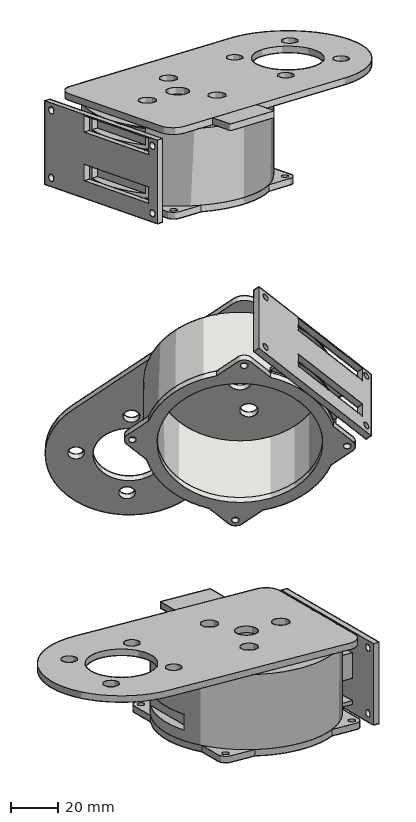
import cadquery as cq
import math


SHEET = 3.0
DRUM_RADIUS = 40.9
DRUM_HEIGHT = 34.6
BORE_RADIUS = 35.2

BASE_HALF_WIDTH = 35.9
BASE_CORNER_RADIUS = 4.0
EAR_HOLE_DIAMETER = 3.2
EAR_HOLE_OFFSET = 32.3

ARM_BOTTOM = SHEET + DRUM_HEIGHT
ARM_HALF_WIDTH = 35.8
ARM_END_OFFSET = 36.2
ARM_CORNER_RADIUS = 7.0
ROUND_END_Y = 63.9
PILOT_DIAMETER = 30.9
MOTOR_HOLE_DIAMETER = 7.0
MOTOR_HOLE_SPACING = 32.0

AXIS_HOLE_DIAMETER = 10.0
RING_HOLE_DIAMETER = 7.8
RING_HOLE_CIRCLE_RADIUS = 17.5
RING_HOLE_COUNT = 3

TAB_END_X = 46.8
TAB_WIDTH = 25.5
TAB_CORNER_RADIUS = 0.5

BOARD_BACK_Y = -DRUM_RADIUS
BOARD_LEFT_X = -35.8
BOARD_WIDTH = 70.5
BOARD_HEIGHT = ARM_BOTTOM
BOARD_HOLE_DIAMETER = 3.2
BOARD_HOLE_LEFT_X = -31.6
BOARD_HOLE_BOTTOM_Z = 4.0
BOARD_HOLE_SPACING_X = 63.2
BOARD_HOLE_SPACING_Z = 30.3

SLOT_LEFT_X = -11.0
SLOT_WIDTH = 40.4
SLOT_HEIGHT = 7.3
LOWER_SLOT_Z = 7.9
UPPER_SLOT_Z = 29.7
NOTCH_FLOOR_OFFSET = 36.2

PAD_BACK_OFFSET = 35.8
PAD_WIDTH = 2 * math.sqrt(DRUM_RADIUS**2 - PAD_BACK_OFFSET**2)
LOWER_PAD_Z = 4.0
LOWER_PAD_HEIGHT = 1.7
UPPER_PAD_Z = 16.1
UPPER_PAD_HEIGHT = 11.8


def block(x_min, x_max, y_min, y_max, z_min, height):
    """Box given by its X and Y limits, its underside and its height."""
    return (
        cq.Workplane("XY")
        .box(x_max - x_min, y_max - y_min, height, centered=False)
        .translate((x_min, y_min, z_min))
    )


def slot_cutter(bottom_z, y_min, y_max):
    """Rectangular cutter with the slot's X limits and height."""
    return block(SLOT_LEFT_X, SLOT_LEFT_X + SLOT_WIDTH, y_min, y_max, bottom_z, SLOT_HEIGHT)


def make_pad(bottom_z, height):
    """Block set into the front of the drum, flush with the back of the board."""
    return block(-PAD_WIDTH / 2, PAD_WIDTH / 2, BOARD_BACK_Y, -PAD_BACK_OFFSET, bottom_z, height)


def make_base():
    side = 2 * BASE_HALF_WIDTH
    square = cq.Workplane("XY").rect(side, side).extrude(SHEET).edges("|Z").fillet(BASE_CORNER_RADIUS)
    disc = cq.Workplane("XY").circle(DRUM_RADIUS).extrude(SHEET)
    ear_holes = (
        cq.Workplane("XY")
        .rect(2 * EAR_HOLE_OFFSET, 2 * EAR_HOLE_OFFSET, forConstruction=True)
        .vertices()
        .circle(EAR_HOLE_DIAMETER / 2)
        .extrude(SHEET)
    )
    bore = cq.Workplane("XY").circle(BORE_RADIUS).extrude(SHEET)
    return square.union(disc).cut(ear_holes).cut(bore)


def make_drum(pads):
    drum = (
        cq.Workplane("XY")
        .workplane(offset=SHEET)
        .circle(DRUM_RADIUS)
        .circle(BORE_RADIUS)
        .extrude(DRUM_HEIGHT)
    )
    for bottom_z in (LOWER_SLOT_Z, UPPER_SLOT_Z):
        drum = drum.cut(slot_cutter(bottom_z, -DRUM_RADIUS, -NOTCH_FLOOR_OFFSET))
    drum = drum.cut(slot_cutter(LOWER_SLOT_Z, NOTCH_FLOOR_OFFSET, DRUM_RADIUS))
    for pad in pads:
        drum = drum.cut(pad)
    return drum


def make_arm():
    arm = (
        cq.Workplane("XY")
        .workplane(offset=ARM_BOTTOM)
        .moveTo(-ARM_HALF_WIDTH, -ARM_END_OFFSET)
        .lineTo(ARM_HALF_WIDTH, -ARM_END_OFFSET)
        .lineTo(ARM_HALF_WIDTH, ROUND_END_Y)
        .threePointArc((0, ROUND_END_Y + ARM_HALF_WIDTH), (-ARM_HALF_WIDTH, ROUND_END_Y))
        .close()
        .extrude(SHEET)
        .edges("|Z and <Y")
        .fillet(ARM_CORNER_RADIUS)
    )
    motor_plane = cq.Workplane("XY").workplane(offset=ARM_BOTTOM).center(0, ROUND_END_Y)
    pilot = motor_plane.circle(PILOT_DIAMETER / 2).extrude(SHEET)
    motor_holes = (
        motor_plane.rect(MOTOR_HOLE_SPACING, MOTOR_HOLE_SPACING, forConstruction=True)
        .vertices()
        .circle(MOTOR_HOLE_DIAMETER / 2)
        .extrude(SHEET)
    )
    drum_plane = cq.Workplane("XY").workplane(offset=ARM_BOTTOM)
    axis_hole = drum_plane.circle(AXIS_HOLE_DIAMETER / 2).extrude(SHEET)
    ring_holes = (
        drum_plane.polarArray(RING_HOLE_CIRCLE_RADIUS, -90, 360, RING_HOLE_COUNT)
        .circle(RING_HOLE_DIAMETER / 2)
        .extrude(SHEET)
    )
    return arm.cut(pilot).cut(motor_holes).cut(axis_hole).cut(ring_holes)


def make_tab():
    tab = block(ARM_HALF_WIDTH, TAB_END_X, -TAB_WIDTH / 2, TAB_WIDTH / 2, ARM_BOTTOM, SHEET)
    return tab.edges("|Z and >X").fillet(TAB_CORNER_RADIUS)


def make_board():
    front_y = BOARD_BACK_Y - SHEET
    board = block(BOARD_LEFT_X, BOARD_LEFT_X + BOARD_WIDTH, front_y, BOARD_BACK_Y, 0, BOARD_HEIGHT)
    for bottom_z in (LOWER_SLOT_Z, UPPER_SLOT_Z):
        board = board.cut(slot_cutter(bottom_z, front_y, BOARD_BACK_Y))
    for column in range(2):
        for row in range(2):
            x = BOARD_HOLE_LEFT_X + column * BOARD_HOLE_SPACING_X
            z = BOARD_HOLE_BOTTOM_Z + row * BOARD_HOLE_SPACING_Z
            hole = (
                cq.Workplane("XZ", origin=(x, BOARD_BACK_Y, z))
                .circle(BOARD_HOLE_DIAMETER / 2)
                .extrude(SHEET)
            )
            board = board.cut(hole)
    return board


pad_levels = ((LOWER_PAD_Z, LOWER_PAD_HEIGHT), (UPPER_PAD_Z, UPPER_PAD_HEIGHT))
pads = [make_pad(bottom_z, height) for bottom_z, height in pad_levels]
base = make_base()
drum = make_drum(pads)
arm = make_arm()
tab = make_tab()
board = make_board()

result = cq.Compound.makeCompound(
    [base.val(), drum.val(), arm.val(), tab.val(), board.val(), *[pad.val() for pad in pads]]
)